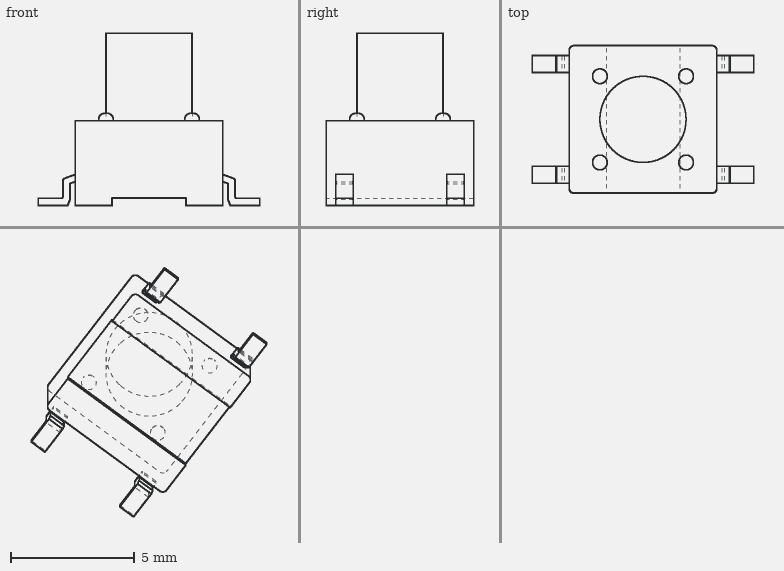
import cadquery as cq
import math

body_size = 6.0
body_height = 3.45
cover_thickness = 0.15
corner_radius = 0.2
foot_height = 0.3
foot_length = 1.5

button_diameter = 3.5
total_height = 7.0

rivet_diameter = 0.6
rivet_height = 0.3
rivet_round = 0.25
rivet_offset = 1.75

lead_span = 9.0
lead_width = 0.7
lead_offset = 2.25
lead_thickness = 0.3
lead_riser_outer = 3.5
lead_exit_height = 1.265
lead_exit_slope = 20.0
lead_embed = 0.2
top_bend_radius = 0.12
instep_length = 0.035
instep_height = 0.065
heel_length = 0.1
heel_height = 0.25


def make_housing():
    """Lower block and thin cover plate, with a channel between the feet along Y."""
    block_height = body_height - cover_thickness
    block = cq.Workplane("XY").rect(body_size, body_size).extrude(block_height)
    block = block.edges("|Z").fillet(corner_radius)
    channel = cq.Workplane("XY").box(
        body_size - 2 * foot_length, body_size, foot_height, centered=(True, True, False)
    )
    cover = cq.Workplane("XY").workplane(offset=block_height)
    cover = cover.rect(body_size, body_size).extrude(cover_thickness)
    cover = cover.edges("|Z").fillet(corner_radius)
    return block.cut(channel).union(cover, clean=False)


def make_button():
    """Plain cylinder rising from the cover."""
    base = cq.Workplane("XY").workplane(offset=body_height)
    return base.circle(button_diameter / 2).extrude(total_height - body_height)


def make_rivet():
    """Short cylinder whose top edge is rounded almost to its centre."""
    base = cq.Workplane("XY").workplane(offset=body_height)
    head = base.circle(rivet_diameter / 2).extrude(rivet_height)
    return head.faces(">Z").edges().fillet(rivet_round)


def make_lead():
    """Lead on the +X side, bent down from the housing wall to a flat foot.

    The instep is a small arc above the foot and the heel is a flat cut below it.
    """
    slope = math.tan(math.radians(lead_exit_slope))
    wall = body_size / 2
    inner_end = wall - lead_embed
    riser_inner = lead_riser_outer - lead_thickness
    tip = lead_span / 2

    def top_surface(x):
        return lead_exit_height - (x - wall) * slope

    riser_top = top_surface(lead_riser_outer)
    lead = (
        cq.Workplane("XZ")
        .moveTo(inner_end, top_surface(inner_end))
        .lineTo(lead_riser_outer, riser_top)
        .lineTo(lead_riser_outer, lead_thickness + instep_height)
        .tangentArcPoint((lead_riser_outer + instep_length, lead_thickness), relative=False)
        .lineTo(tip, lead_thickness)
        .lineTo(tip, 0)
        .lineTo(riser_inner + heel_length, 0)
        .lineTo(riser_inner, heel_height)
        .lineTo(riser_inner, top_surface(riser_inner) - lead_thickness)
        .lineTo(inner_end, top_surface(inner_end) - lead_thickness)
        .close()
        .extrude(lead_width / 2, both=True)
    )
    top_bend = cq.selectors.NearestToPointSelector((lead_riser_outer, 0, riser_top))
    return lead.edges(top_bend).fillet(top_bend_radius)


result = make_housing().union(make_button(), clean=False)

rivet = make_rivet()
right_lead = make_lead()
left_lead = right_lead.mirror("YZ")
for y_side in (-1, 1):
    for x_side in (-1, 1):
        placed_rivet = rivet.translate((x_side * rivet_offset, y_side * rivet_offset, 0))
        result = result.union(placed_rivet, clean=False)
    for lead in (left_lead, right_lead):
        result = result.union(lead.translate((0, y_side * lead_offset, 0)), clean=False)